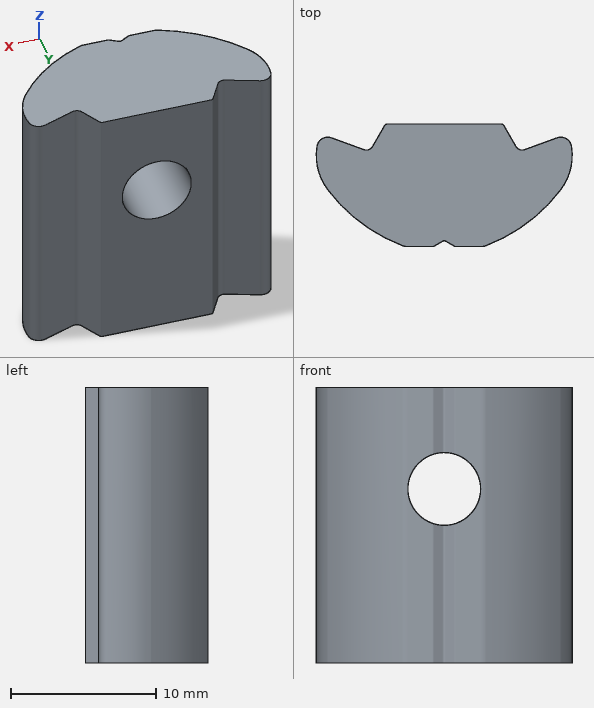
import cadquery as cq
import math

length = 19.0
width = 17.65
depth = 8.45

notch_x = 5.15
notch_y = 6.55
rib_flank_angle = math.radians(60)
wing_slope = math.radians(20)

side_radius = 3.91
side_centre_y = 6.29
shoulder_angle = math.radians(37)
belly_radius = 11.59

groove_half_width = 0.75
groove_flank_angle = math.radians(30)

rib_fillet = 0.19
notch_fillet = 0.5
wing_tip_fillet = 0.76
belly_fillet = 1.0
groove_fillet = 0.2

hole_diameter = 5.0
hole_z = 12.0

rib_x = notch_x - (depth - notch_y) / math.tan(rib_flank_angle)
groove_depth = groove_half_width * math.tan(groove_flank_angle)
side_centre_x = width / 2 - side_radius


def on_side_arc(angle):
    """Point on the side arc, with the angle measured from +X."""
    return (
        side_centre_x + side_radius * math.cos(angle),
        side_centre_y + side_radius * math.sin(angle),
    )


def wing_tip_angle():
    """Angle on the side arc where the sloping wing top meets it."""
    line_distance = (
        (notch_x - side_centre_x) * math.sin(-wing_slope)
        + (notch_y - side_centre_y) * math.cos(wing_slope)
    )
    return wing_slope + math.asin(line_distance / side_radius)


tip_angle = wing_tip_angle()
wing_tip = on_side_arc(tip_angle)
side_middle = on_side_arc((tip_angle - shoulder_angle) / 2)
shoulder = on_side_arc(-shoulder_angle)

centre_offset = belly_radius - side_radius
belly_centre_x = side_centre_x - centre_offset * math.cos(shoulder_angle)
belly_centre_y = side_centre_y + centre_offset * math.sin(shoulder_angle)
belly_end_angle = -math.asin(belly_centre_y / belly_radius)
belly_middle_angle = (belly_end_angle - shoulder_angle) / 2


def on_belly_arc(angle):
    """Point on the belly arc, with the angle measured from +X."""
    return (
        belly_centre_x + belly_radius * math.cos(angle),
        belly_centre_y + belly_radius * math.sin(angle),
    )


belly_middle = on_belly_arc(belly_middle_angle)
belly_end = on_belly_arc(belly_end_angle)


def round_edges(body, corner, radius):
    """Round the lengthwise edge at a profile corner and its mirror image."""
    x, y = corner
    for edge_x in sorted({x, -x}):
        edge = cq.selectors.NearestToPointSelector((edge_x, y, length / 2))
        body = body.edges("|Z").edges(edge).fillet(radius)
    return body


half = (
    cq.Workplane("XY")
    .moveTo(0, depth)
    .lineTo(rib_x, depth)
    .lineTo(notch_x, notch_y)
    .lineTo(*wing_tip)
    .threePointArc(side_middle, shoulder)
    .threePointArc(belly_middle, belly_end)
    .lineTo(groove_half_width, 0)
    .lineTo(0, groove_depth)
    .close()
    .extrude(length)
)
body = half.union(half.mirror("YZ")).clean()

for corner, radius in (
    ((rib_x, depth), rib_fillet),
    ((notch_x, notch_y), notch_fillet),
    (wing_tip, wing_tip_fillet),
    (belly_end, belly_fillet),
    ((groove_half_width, 0), groove_fillet),
    ((0, groove_depth), groove_fillet),
):
    body = round_edges(body, corner, radius)

hole = cq.Workplane("XZ").center(0, hole_z).circle(hole_diameter / 2).extrude(-depth)
result = body.cut(hole)